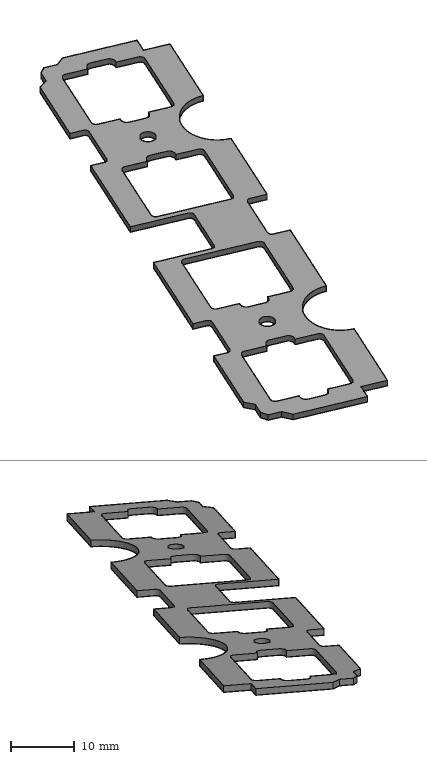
import cadquery as cq

length = 100.0
width = 23.3
thickness = 1.1
top_y = 12.1
bottom_y = top_y - width
half_length = length / 2

pitch = 25.9
window_size = 14.0
window_corner_radius = 0.8
tab_depth = 1.3
tab_width = 4.8
tab_corner_radius = 1.0

hole_diameter = 2.6

cutout_x = 26.7
scallop_radius = 6.0
edge_notch_width = 9.0
edge_notch_depth = 3.0
center_notch_width = 10.0
top_notch_depth = 3.6
bottom_notch_depth = 10.6
notch_corner_radius = 0.7

end_step_length = 2.8
end_step_depth = 4.5
end_bevel_length = 1.3
end_bevel_drop = 1.4
end_bevel_height = 6.1
corner_ledge_length = 4.6
corner_ledge_height = 1.5
corner_bevel_length = 1.1
corner_bevel_height = 0.9
foot_bevel_length = 1.2


def block(x_size, y_size, x_center, y_center):
    """Plate-thick block centred on a point in plan."""
    return cq.Workplane("XY").center(x_center, y_center).rect(x_size, y_size).extrude(thickness)


def make_plate():
    """Plate outline: the right half is described by points and mirrored to the left."""
    shoulder_x = half_length - end_bevel_length
    ledge_y = bottom_y + corner_ledge_height
    ledge_x = half_length - corner_ledge_length
    right_half = [
        (half_length - end_step_length, top_y),
        (half_length - end_step_length, top_y - end_step_depth),
        (half_length, top_y - end_step_depth),
        (half_length, bottom_y + end_bevel_height),
        (shoulder_x, bottom_y + end_bevel_height - end_bevel_drop),
        (shoulder_x, ledge_y + corner_bevel_height),
        (shoulder_x - corner_bevel_length, ledge_y),
        (ledge_x, ledge_y),
        (ledge_x - foot_bevel_length, bottom_y),
    ]
    left_half = [(-x, y) for x, y in reversed(right_half)]
    return cq.Workplane("XY").polyline(right_half + left_half).close().extrude(thickness)


def make_notch(x_center, edge_y, notch_width, depth, inward):
    """Notch from a long edge, with its inner corners rounded; inward is the Y direction into the plate."""
    notch = block(notch_width, depth, x_center, edge_y + inward * depth / 2)
    inner_edges = "|Z and >Y" if inward > 0 else "|Z and <Y"
    return notch.edges(inner_edges).fillet(notch_corner_radius)


def make_window(x_center, tab_sides):
    """Square window with a round-cornered tab recess on each of the given sides."""
    window = block(window_size, window_size, x_center, 0)
    window = window.edges("|Z").fillet(window_corner_radius)
    for side in tab_sides:
        tab = block(2 * tab_depth, tab_width, x_center + side * window_size / 2, 0)
        outer_edges = "|Z and >X" if side > 0 else "|Z and <X"
        window = window.union(tab.edges(outer_edges).fillet(tab_corner_radius))
    return window


result = make_plate()
result = result.cut(make_notch(0, top_y, center_notch_width, top_notch_depth, -1))
result = result.cut(make_notch(0, bottom_y, center_notch_width, bottom_notch_depth, 1))

for side in (-1, 1):
    scallop = cq.Workplane("XY").center(side * cutout_x, top_y).circle(scallop_radius).extrude(thickness)
    hole = cq.Workplane("XY").center(side * pitch, 0).circle(hole_diameter / 2).extrude(thickness)
    result = result.cut(scallop).cut(hole)
    result = result.cut(make_notch(side * cutout_x, bottom_y, edge_notch_width, edge_notch_depth, 1))
    result = result.cut(make_window(side * pitch / 2, [side]))
    result = result.cut(make_window(side * pitch * 3 / 2, [-1, 1]))